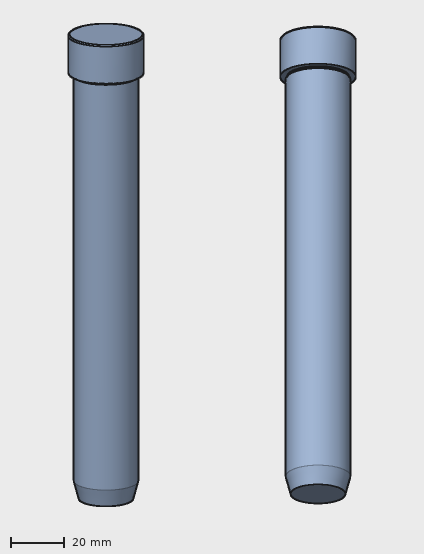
import cadquery as cq
import math

total_length = 180.0
head_diameter = 28.0
head_height = 15.0
head_chamfer = 0.5

shank_diameter = 24.1
tip_length = 7.0
tip_half_angle = 15.0

groove_width = 1.0
groove_depth = 0.5

head_radius = head_diameter / 2
shank_radius = shank_diameter / 2
groove_radius = shank_radius - groove_depth
tip_radius = shank_radius - tip_length * math.tan(math.radians(tip_half_angle))
head_bottom = total_length - head_height
groove_bottom = head_bottom - groove_width

half_section = (
    cq.Workplane("XZ")
    .moveTo(0, 0)
    .lineTo(tip_radius, 0)
    .lineTo(shank_radius, tip_length)
    .lineTo(shank_radius, groove_bottom)
    .lineTo(groove_radius, groove_bottom + groove_depth)
    .lineTo(groove_radius, head_bottom)
    .lineTo(head_radius, head_bottom)
    .lineTo(head_radius, total_length - head_chamfer)
    .lineTo(head_radius - head_chamfer, total_length)
    .lineTo(0, total_length)
    .close()
)

result = half_section.revolve(360, (0, 0, 0), (0, 1, 0))